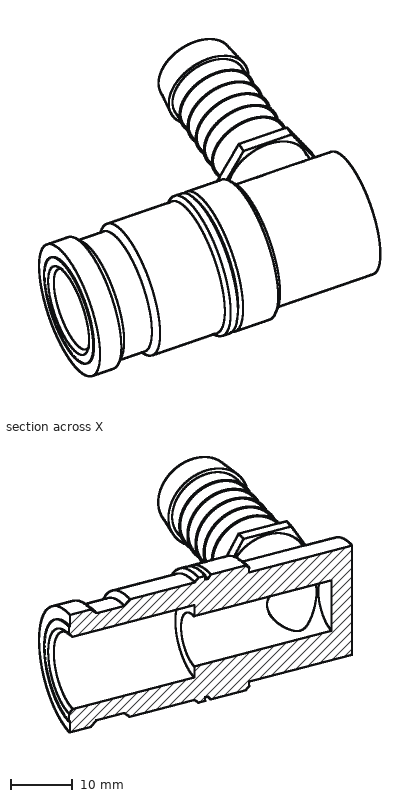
import cadquery as cq


back_y = 8.5
mouth_y = -42.5
back_radius = 10.5
collar_diameter = 24.0
collar_radius = collar_diameter / 2
collar_start_y = -10.0
collar_end_y = -17.5
collar_chamfer = 0.7
collar_end_bevel = 0.5
barrel_radius = 11.3
ring_start_y = -17.9
ring_end_y = -19.9
neck_radius = 10.3
neck_start_y = -32.55
neck_end_y = -37.55
lip_radius = 9.1
lip_height = 0.15

mouth_bore_radius = 6.9
mouth_bore_chamfer = 0.7
mouth_bore_end_y = -19.95
inner_bore_radius = 4.8

overall_length = 52.5
body_to_tip = overall_length - collar_radius
tip_radius = 6.6
flare_radius = 7.2
flare_length = 5.0
tail_radius = 6.5
barb_radius = 6.7
barb_pitch = 3.0
barb_land = barb_pitch / 2
barb_count = 5
shank_radius = 7.15
hose_bore_radius = 4.45

hex_corner_diameter = 17.3
hex_start_x = -15.5
hex_thickness = 1.8


def make_body():
    """Revolve the stepped outside of the body about Y."""
    barrel_step = barrel_radius - neck_radius
    ring_chamfer = collar_radius - barrel_radius
    flange_face_y = mouth_y + lip_height
    profile = [
        (0, back_y),
        (back_radius, back_y),
        (back_radius, collar_start_y),
        (collar_radius - collar_chamfer, collar_start_y),
        (collar_radius, collar_start_y - collar_chamfer),
        (collar_radius, collar_end_y + collar_end_bevel),
        (barrel_radius, collar_end_y),
        (barrel_radius, ring_start_y),
        (collar_radius, ring_start_y),
        (collar_radius, ring_end_y + ring_chamfer),
        (barrel_radius, ring_end_y),
        (barrel_radius, neck_start_y + barrel_step),
        (neck_radius, neck_start_y),
        (neck_radius, neck_end_y),
        (barrel_radius, neck_end_y - barrel_step),
        (barrel_radius, flange_face_y),
        (lip_radius, flange_face_y),
        (lip_radius, mouth_y),
        (0, mouth_y),
    ]
    return cq.Workplane("XY").polyline(profile).close().revolve(360, (0, 0), (0, 1))


def make_hose_tail():
    """Revolve the flared tip, the barbs and the shank about X."""
    flare_end_x = flare_length - body_to_tip
    profile = [(-body_to_tip, 0), (-body_to_tip, tip_radius), (flare_end_x, flare_radius)]
    for index in range(barb_count):
        barb_x = flare_end_x + index * barb_pitch
        profile.append((barb_x, tail_radius))
        profile.append((barb_x + barb_land, tail_radius))
        profile.append((barb_x + barb_pitch, barb_radius))
    profile += [
        (flare_end_x + barb_count * barb_pitch, tail_radius),
        (hex_start_x, tail_radius),
        (hex_start_x, shank_radius),
        (0, shank_radius),
        (0, 0),
    ]
    return cq.Workplane("XY").polyline(profile).close().revolve(360, (0, 0), (1, 0))


def make_hex_flange():
    """Hexagon with two corners pointing along Y."""
    return (
        cq.Workplane("YZ", origin=(hex_start_x, 0, 0))
        .polygon(6, hex_corner_diameter)
        .extrude(hex_thickness)
    )


def make_body_bore():
    """Chamfered mouth bore, stepping down to a blind bore that ends past the hose bore."""
    inner_end_y = inner_bore_radius
    profile = [
        (0, mouth_y),
        (mouth_bore_radius + mouth_bore_chamfer, mouth_y),
        (mouth_bore_radius, mouth_y + mouth_bore_chamfer),
        (mouth_bore_radius, mouth_bore_end_y),
        (inner_bore_radius, mouth_bore_end_y),
        (inner_bore_radius, inner_end_y),
        (0, inner_end_y),
    ]
    return cq.Workplane("XY").polyline(profile).close().revolve(360, (0, 0), (0, 1))


def make_hose_bore():
    """Straight bore from the hose tip to the body axis."""
    return (
        cq.Workplane("YZ", origin=(-body_to_tip, 0, 0))
        .circle(hose_bore_radius)
        .extrude(body_to_tip)
    )


solid = make_body().union(make_hose_tail()).union(make_hex_flange())
result = solid.cut(make_body_bore()).cut(make_hose_bore())